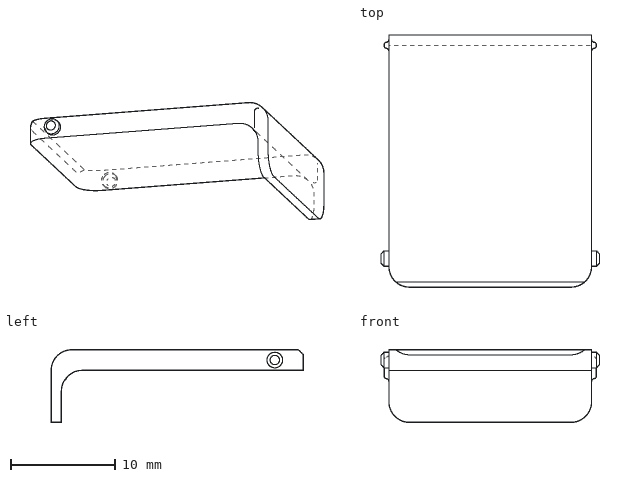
import cadquery as cq
import math

width = 19.5
length = 24.25
height = 7.0
plate_thickness = 2.0
leg_thickness = 1.0
bend_outer_radius = 2.0
bend_inner_radius = 2.0
corner_radius = 2.0
front_chamfer = 0.5

peg_diameter = 1.5
peg_length = 0.75
peg_chamfer = 0.3
peg_from_front = 2.75
peg_depth = plate_thickness / 2

rib_half_width = 0.55
rib_height = 0.45
rib_crest_half_width = 0.05
rib_straight = 1.5
rib_from_back = 1.0
rib_top_z = -1.0

half_width = width / 2
leg_front = length - leg_thickness


def bent_plate():
    """Side profile of plate and leg, extruded over the full width."""
    profile = (
        cq.Workplane("YZ")
        .moveTo(0, -plate_thickness)
        .lineTo(0, -front_chamfer)
        .lineTo(front_chamfer, 0)
        .lineTo(length - bend_outer_radius, 0)
        .tangentArcPoint((length, -bend_outer_radius), relative=False)
        .lineTo(length, -height)
        .lineTo(leg_front, -height)
        .lineTo(leg_front, -plate_thickness - bend_inner_radius)
        .tangentArcPoint((leg_front - bend_inner_radius, -plate_thickness), relative=False)
        .close()
    )
    return profile.extrude(half_width, both=True)


def rounded_block(edge_selector):
    """Bounding block of plate and leg with the selected pair of edges rounded."""
    block = cq.Workplane("XY").box(width, length, height, centered=(True, False, False))
    return block.translate((0, 0, -height)).edges(edge_selector).fillet(corner_radius)


def peg():
    """Cylindrical peg with a chamfered tip."""
    side_face = cq.Workplane("YZ", origin=(half_width, peg_from_front, -peg_depth))
    cylinder = side_face.circle(peg_diameter / 2).extrude(peg_length)
    return cylinder.faces(">X").chamfer(peg_chamfer)


def rib_half_profile():
    """Closed half section from the rib axis outward: narrow flat crest curving into a concave foot."""
    turn_x = rib_height / 2
    turn_y = (rib_crest_half_width + rib_half_width) / 2
    arc_width = turn_y - rib_crest_half_width
    turn_angle = 2 * math.atan2(turn_x, arc_width)
    arc_radius = arc_width / math.sin(turn_angle)
    crest_middle = (
        rib_height - arc_radius * (1 - math.cos(turn_angle / 2)),
        rib_crest_half_width + arc_radius * math.sin(turn_angle / 2),
    )
    return (
        cq.Workplane("XY", origin=(half_width, length - rib_from_back, rib_top_z))
        .moveTo(0, 0)
        .lineTo(rib_height, 0)
        .lineTo(rib_height, rib_crest_half_width)
        .threePointArc(crest_middle, (turn_x, turn_y))
        .tangentArcPoint((0, rib_half_width), relative=False)
        .close()
    )


def rib():
    """Upright rib: a straight stretch of S-curved section between two round buttons of that section."""
    rib_y = length - rib_from_back
    flank = rib_half_profile().extrude(-rib_straight)
    opposite_flank = flank.mirror("XZ", (0, rib_y, 0))
    top_button = rib_half_profile().revolve(360, (0, 0, 0), (1, 0, 0))
    bottom_button = top_button.translate((0, 0, -rib_straight))
    return flank.union(opposite_flank).union(top_button).union(bottom_button)


plate_corners = rounded_block("|Z and <Y")
leg_corners = rounded_block("|Y and <Z")

result = bent_plate().intersect(plate_corners).intersect(leg_corners)
for side_feature in (peg(), rib()):
    result = result.union(side_feature).union(side_feature.mirror("YZ"))